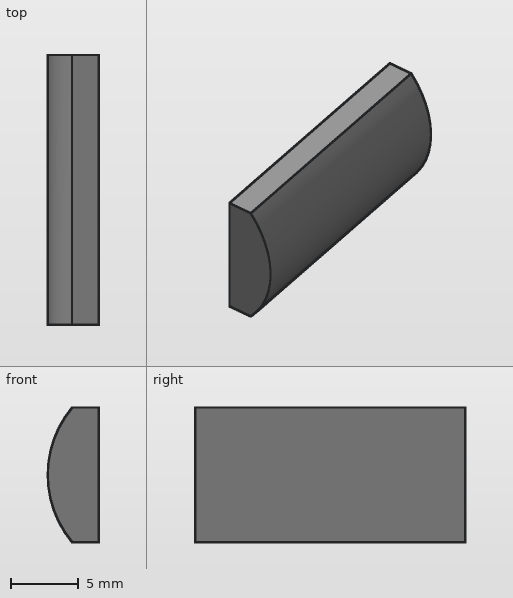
import cadquery as cq
import math

length = 20.0
height = 10.0
center_thickness = 3.8
curve_radius = 7.75

half_height = height / 2
sag = curve_radius - math.sqrt(curve_radius**2 - half_height**2)
back_x = center_thickness / 2
crown_x = -center_thickness / 2
edge_x = crown_x + sag

result = (
    cq.Workplane("XZ")
    .moveTo(back_x, -half_height)
    .lineTo(back_x, half_height)
    .lineTo(edge_x, half_height)
    .threePointArc((crown_x, 0), (edge_x, -half_height))
    .close()
    .extrude(length / 2, both=True)
)